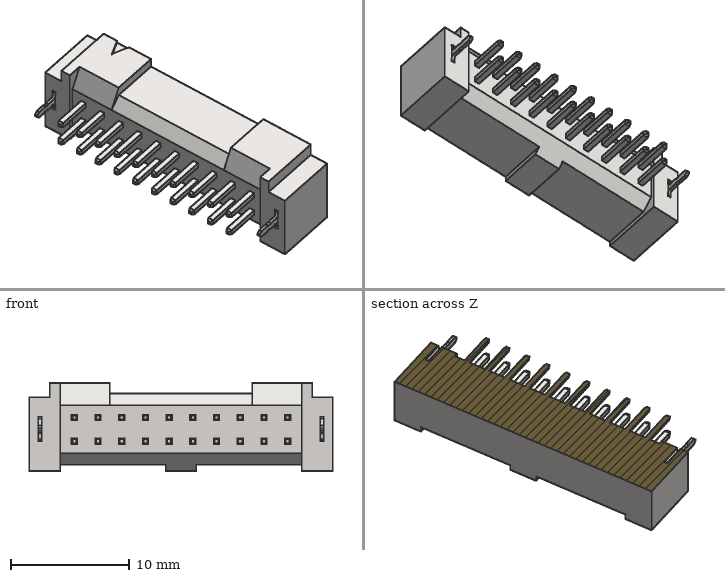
import cadquery as cq


length = 25.67
height = 7.45
pin_tip_y = -8.75

wing_width = 2.65
wing_depth = 5.8
wing_step_width = 1.75
wing_step_z = 6.25

body_back_y = -5.45
body_bottom_z = 0.51
back_bottom_z = 1.51
back_top_z = 5.57
body_half_length = length / 2 - wing_width

block_half_gap = 6.0
block_top_y = -4.47
deck_z = 6.57
deck_slope = deck_z - back_top_z

key_width = 2.6

mark_width = 1.28
mark_length = 1.57
mark_depth = 0.2

pin_columns = 10
pin_rows = 2
pin_pitch = 2.0
pin_center_z = 3.52
pin_side = 0.5
pin_tip_side = 0.3
pin_tip_length = 0.23

slot_x = length / 2 - 0.92
slot_z = 3.55
slot_width = 0.3
slot_height = 2.05
slot_depth = 2.05

tab_thickness = 0.25
root_height = 1.8
root_y = -5.75
root_corner_radius = 0.28
root_fillet_radius = 0.25
blade_height = 0.65
blade_half_height = blade_height / 2
blade_taper_y = -7.98
blade_tip_y = -8.25
blade_tip_half_height = 0.08
notch_y = -6.93
notch_half_length = 0.193
notch_depth = 0.08

pin_one_x = -(pin_columns - 1) / 2 * pin_pitch


def prism_along_x(points, x_start, x_end):
    """Extrude a (y, z) outline from x_start to x_end."""
    return cq.Workplane("YZ", origin=(x_start, 0, 0)).polyline(points).close().extrude(x_end - x_start)


def box_between(x_range, y_range, z_range):
    """Axis-aligned box from its limits on each axis."""
    size = [high - low for low, high in (x_range, y_range, z_range)]
    corner = (x_range[0], y_range[0], z_range[0])
    return cq.Workplane("XY").box(*size, centered=False).translate(corner)


def make_body():
    """Central body with sloped edges above and below its back face."""
    lower_slope = back_bottom_z - body_bottom_z
    outline = [
        (0, body_bottom_z),
        (body_back_y + lower_slope, body_bottom_z),
        (body_back_y, back_bottom_z),
        (body_back_y, back_top_z),
        (body_back_y + deck_slope, deck_z),
        (0, deck_z),
    ]
    return prism_along_x(outline, -body_half_length, body_half_length)


def make_key():
    """Key under the body, reaching z = 0 along the same 45 degree slope."""
    outline = [
        (0, 0),
        (body_back_y + back_bottom_z, 0),
        (body_back_y, back_bottom_z),
        (0, back_bottom_z),
    ]
    return prism_along_x(outline, -key_width / 2, key_width / 2)


def make_end_blocks():
    """Full-height blocks at both ends of the deck."""
    outline = [
        (0, back_top_z),
        (body_back_y, back_top_z),
        (block_top_y, height),
        (0, height),
    ]
    block = prism_along_x(outline, block_half_gap, body_half_length)
    return block.union(block.mirror("YZ"))


def make_wings():
    """End wings, each with a step along its outer top edge."""
    wing_y = (-wing_depth, 0)
    wing = box_between((body_half_length, length / 2), wing_y, (0, height))
    step = box_between((length / 2 - wing_step_width, length / 2), wing_y, (wing_step_z, height))
    wing = wing.cut(step)
    return wing.union(wing.mirror("YZ"))


def make_pin_one_mark():
    """Triangular cutter for the mark above pin 1."""
    return (
        cq.Workplane("XY", origin=(pin_one_x, 0, height))
        .polyline([(-mark_width / 2, 0), (mark_width / 2, 0), (0, -mark_length)])
        .close()
        .extrude(-mark_depth)
    )


def make_pin(x, z):
    """Square pin with a tapered tip, starting on the back face of the body."""
    shank_length = body_back_y - pin_tip_y - pin_tip_length
    shank_plane = cq.Workplane("XZ", origin=(x, body_back_y, z))
    shank = shank_plane.rect(pin_side, pin_side).extrude(shank_length)
    tip = (
        shank.faces("<Y")
        .workplane(centerOption="CenterOfMass")
        .rect(pin_side, pin_side)
        .workplane(offset=pin_tip_length)
        .rect(pin_tip_side, pin_tip_side)
        .loft(combine=False)
    )
    return shank.union(tip)


def make_slot(x):
    """Cutter for the slot that holds one tab."""
    return (
        cq.Workplane("XZ", origin=(x, -wing_depth, slot_z))
        .rect(slot_width, slot_height)
        .extrude(-slot_depth)
    )


def make_housing():
    """Housing with its pins, as one solid."""
    housing = make_body().union(make_key()).union(make_end_blocks()).union(make_wings())
    housing = housing.cut(make_pin_one_mark())
    for column in range(pin_columns):
        for row in range(pin_rows):
            x = pin_one_x + column * pin_pitch
            z = pin_center_z + (row - (pin_rows - 1) / 2) * pin_pitch
            housing = housing.union(make_pin(x, z))
    for side in (-1, 1):
        housing = housing.cut(make_slot(side * slot_x))
    return housing


def make_tab(x):
    """Flat tab: a wide root inside the slot and a notched blade with a tapered tip."""
    slot_floor_y = -wing_depth + slot_depth
    half_root = root_height / 2
    tab = (
        cq.Workplane("YZ", origin=(x - tab_thickness / 2, 0, slot_z))
        .moveTo(slot_floor_y, -half_root)
        .lineTo(slot_floor_y, half_root)
        .lineTo(root_y, half_root)
        .lineTo(root_y, blade_half_height)
        .lineTo(notch_y + notch_half_length, blade_half_height)
        .threePointArc(
            (notch_y, blade_half_height - notch_depth),
            (notch_y - notch_half_length, blade_half_height),
        )
        .lineTo(blade_taper_y, blade_half_height)
        .lineTo(blade_tip_y, blade_tip_half_height)
        .lineTo(blade_tip_y, -blade_tip_half_height)
        .lineTo(blade_taper_y, -blade_half_height)
        .lineTo(notch_y - notch_half_length, -blade_half_height)
        .threePointArc(
            (notch_y, -blade_half_height + notch_depth),
            (notch_y + notch_half_length, -blade_half_height),
        )
        .lineTo(root_y, -blade_half_height)
        .lineTo(root_y, -half_root)
        .close()
        .extrude(tab_thickness)
    )
    for z_sign in (-1, 1):
        corner = (x, root_y, slot_z + z_sign * half_root)
        tab = tab.edges(cq.selectors.NearestToPointSelector(corner)).fillet(root_corner_radius)
        shoulder = (x, root_y, slot_z + z_sign * blade_half_height)
        tab = tab.edges(cq.selectors.NearestToPointSelector(shoulder)).fillet(root_fillet_radius)
    return tab


housing = make_housing()
tabs = [make_tab(side * slot_x) for side in (-1, 1)]

result = cq.Compound.makeCompound([housing.val(), *[tab.val() for tab in tabs]])